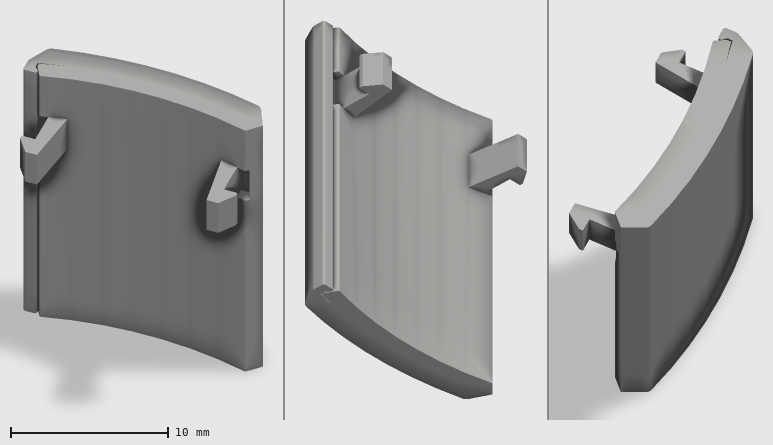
import cadquery as cq

LENGTH = 20.6
OVERALL_DEPTH = 6.92

LEFT_SHOULDER = (-7.44, 6.15)
RIGHT_SHOULDER = (7.17, 5.95)
OUTER_APEX = (-0.5, OVERALL_DEPTH)
NOSE = (7.95, 4.33)
INNER_APEX_Y = 4.39
RIGHT_TIP = (7.09, 3.46)
TONGUE_TIP = (-7.02, 3.48)

HOOK_OUTER_X = -8.25
HOOK_INNER_X = -7.31
HOOK_BOTTOM_Y = 3.67
HOOK_LIP_Y = 3.93
HIP = (HOOK_OUTER_X, 4.64)
HOOK_OUTER_CORNER = (HOOK_OUTER_X, HOOK_BOTTOM_Y)
HOOK_INNER_CORNER = (HOOK_INNER_X, HOOK_BOTTOM_Y)

SLIT_END = (-5.77, 4.99)
SLIT_CORNER = (-7.6, 4.6)
SLIT_HEEL = (-7.6, 4.22)
TONGUE_CORNER = (-7.48, 4.55)
TONGUE_SIDE = (-7.48, 4.28)

SHOULDER_RADIUS = 0.52
HOOK_RADIUS = 0.16
TIP_RADIUS = 0.15

CLIP_TOP_Z = 17.14
CLIP_HEIGHT = 2.53
CLIP_BOTTOM_Z = CLIP_TOP_Z - CLIP_HEIGHT
CLIP_OUTER_X = 6.47
CLIP_INNER_TIP_X = 5.8
CLIP_INNER_ROOT_X = 5.27
CLIP_ROOT_Y = 3.91
CLIP_EMBED = 0.41
BARB_X = 7.4
BARB_TOP_Y = 1.35
BARB_EDGE_Y = 1.1
BARB_TIP_X = 6.61

NOTCH_OUTER_X = 7.3
NOTCH_ROOF_Y = 4.33


def round_corner(plate, corner, radius):
    """Round the full-length vertical edge that passes through corner."""
    selector = cq.selectors.NearestToPointSelector((*corner, LENGTH / 2))
    return plate.edges("|Z").edges(selector).fillet(radius)


def make_plate():
    """Arched profile with a hook and tongue on the left and a pointed nose on the right."""
    plate = (
        cq.Workplane("XY")
        .moveTo(*LEFT_SHOULDER)
        .threePointArc(OUTER_APEX, RIGHT_SHOULDER)
        .lineTo(*NOSE)
        .lineTo(*RIGHT_TIP)
        .threePointArc((0, INNER_APEX_Y), TONGUE_TIP)
        .lineTo(*TONGUE_SIDE)
        .lineTo(*TONGUE_CORNER)
        .lineTo(*SLIT_END)
        .lineTo(*SLIT_CORNER)
        .lineTo(*SLIT_HEEL)
        .lineTo(HOOK_INNER_X, HOOK_LIP_Y)
        .lineTo(*HOOK_INNER_CORNER)
        .lineTo(*HOOK_OUTER_CORNER)
        .lineTo(*HIP)
        .close()
        .extrude(LENGTH)
    )
    for corner in (LEFT_SHOULDER, RIGHT_SHOULDER, HIP):
        plate = round_corner(plate, corner, SHOULDER_RADIUS)
    for corner in (HOOK_OUTER_CORNER, HOOK_INNER_CORNER):
        plate = round_corner(plate, corner, HOOK_RADIUS)
    for corner in (TONGUE_TIP, RIGHT_TIP):
        plate = round_corner(plate, corner, TIP_RADIUS)
    return plate


def make_notch(side):
    """Pocket in the plate underside, directly behind the barb of one clip."""
    width = NOTCH_OUTER_X - CLIP_OUTER_X
    return (
        cq.Workplane("XY")
        .box(width, NOTCH_ROOF_Y, CLIP_HEIGHT, centered=(True, False, False))
        .translate((side * (CLIP_OUTER_X + width / 2), 0, CLIP_BOTTOM_Z))
    )


def make_clip(side):
    """Tapered snap arm with an outward barb; side is -1 (left) or +1 (right)."""
    outline = [
        (CLIP_OUTER_X, CLIP_ROOT_Y),
        (CLIP_OUTER_X, BARB_TOP_Y),
        (BARB_X, BARB_TOP_Y),
        (BARB_X, BARB_EDGE_Y),
        (BARB_TIP_X, 0),
        (CLIP_INNER_TIP_X, 0),
        (CLIP_INNER_ROOT_X, CLIP_ROOT_Y),
        (CLIP_INNER_ROOT_X, CLIP_ROOT_Y + CLIP_EMBED),
    ]
    return (
        cq.Workplane("XY")
        .workplane(offset=CLIP_BOTTOM_Z)
        .polyline([(side * x, y) for x, y in outline])
        .close()
        .extrude(CLIP_HEIGHT)
    )


result = make_plate()
for side in (-1, 1):
    result = result.cut(make_notch(side)).union(make_clip(side))